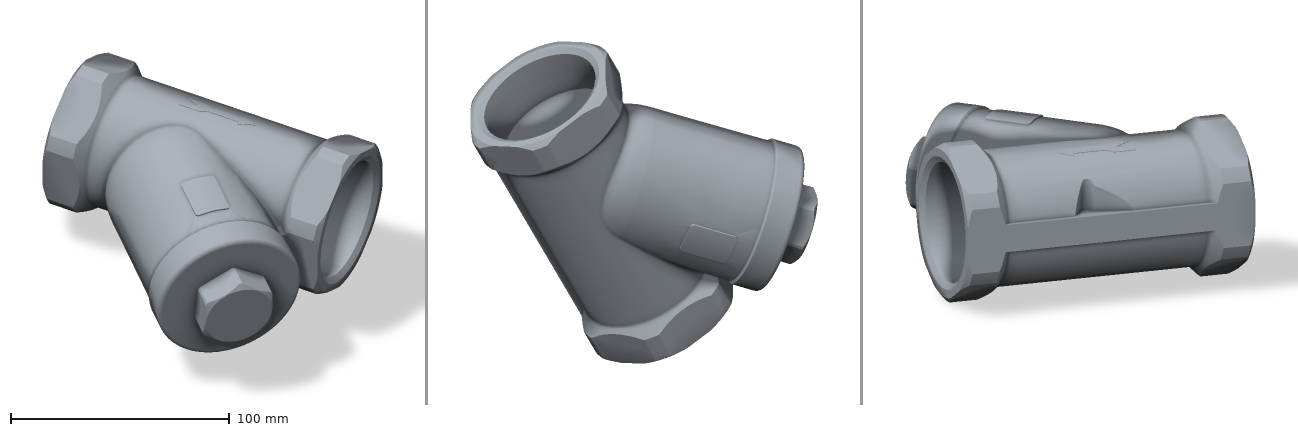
import cadquery as cq
import math

run_length = 140.0
tube_radius = 31.6
socket_flats = 67.9
socket_corner_radius = 37.2
socket_face_radius = 34.6
socket_face_chamfer = 2.1
socket_length = 15.5
bore_radius = 28.0
bore_mouth_radius = 30.8
bore_chamfer = 2.0
bore_depth = 24.4

branch_angle = -45.0
branch_start_x = -26.9
barrel_radius = 33.3
dome_radius = 33.0
dome_centre = 24.8
collar_radius = 34.6
collar_length = 13.6
collar_step = 1.0
branch_end = 98.5
cap_edge_fillet = 2.1
joint_fillet = 1.3

plug_flats = 32.5
plug_corner_radius = 18.3
plug_length = 12.7
plug_face_radius = 15.8
plug_chamfer = 1.8
plug_turn = 25.0

label_start = 52.6
label_length = 22.7
label_width = 16.2
label_corner = 1.7
label_height = 0.7
arrow_height = 0.3
arrow_y = 8.7
arrow_tail_x = -19.5
arrow_notch_x = -11.9
arrow_feather_x = -9.0
arrow_shaft_x = -6.2
arrow_head_x = 10.2
arrow_tip_x = 17.4
arrow_half_width = 3.8
shaft_half_width = 1.8

web_half_height = 6.5
recess_left_x = -12.5
recess_right_x = 16.7
recess_arc_start = (5.5, 25.8)
recess_arc_middle = (8.3, 23.4)
recess_arc_end = (10.9, 24.4)

half_run = run_length / 2
half_flats = socket_flats / 2


def hexagon(workplane, flats, length):
    """Hexagonal prism with its first corner on the local X axis."""
    return workplane.polygon(6, flats / math.cos(math.pi / 6)).extrude(length)


def turned(profile):
    """Revolve a closed (axial, radial) profile about the X axis."""
    return cq.Workplane("XY").polyline(profile).close().revolve(axisEnd=(1, 0, 0))


def left_socket():
    """Hexagonal socket at -X, bevelled at its face and tapered at 45 degrees onto the tube."""
    face = -half_run
    taper_start = face + socket_length
    taper_end = taper_start + socket_corner_radius - tube_radius
    envelope = turned([
        (face, 0),
        (face, socket_face_radius),
        (face + socket_face_chamfer, socket_corner_radius),
        (taper_start, socket_corner_radius),
        (taper_end, tube_radius),
        (taper_end, 0),
    ])
    corner_up = cq.Plane(origin=(face, 0, 0), xDir=(0, 0, 1), normal=(1, 0, 0))
    prism = hexagon(cq.Workplane(corner_up), socket_flats, taper_end - face)
    return prism.intersect(envelope)


def left_bore():
    """Blind bore with a tapered mouth, opening at -X."""
    face = -half_run
    return turned([
        (face, 0),
        (face, bore_mouth_radius),
        (face + bore_chamfer, bore_radius),
        (face + bore_depth, bore_radius),
        (face + bore_depth, 0),
    ])


def both_ends(shape):
    return shape.union(shape.mirror("YZ"))


def back_web():
    inner_length = run_length - 2 * socket_length
    return cq.Workplane("XY").box(
        inner_length, half_flats, 2 * web_half_height, centered=(True, False, True)
    )


def web_recess():
    """Upright pocket in the back of the tube, with the web's top as its floor."""
    edge_y = math.sqrt(tube_radius**2 - web_half_height**2)
    return (
        cq.Workplane("XY", origin=(0, 0, web_half_height))
        .moveTo(recess_left_x, edge_y)
        .lineTo(*recess_arc_start)
        .threePointArc(recess_arc_middle, recess_arc_end)
        .lineTo(recess_right_x, edge_y)
        .lineTo(recess_right_x, half_flats)
        .lineTo(recess_left_x, half_flats)
        .close()
        .extrude(tube_radius)
    )


def barrel():
    """Slightly tapered, domed barrel with its axis on X, before it is turned onto the branch direction."""
    collar_start = branch_end - collar_length
    return (
        cq.Workplane("XY")
        .moveTo(dome_centre - dome_radius, 0)
        .radiusArc((dome_centre, dome_radius), dome_radius)
        .lineTo(collar_start - collar_step, barrel_radius)
        .lineTo(collar_start, collar_radius)
        .lineTo(branch_end, collar_radius)
        .lineTo(branch_end, 0)
        .close()
        .revolve(axisEnd=(1, 0, 0))
        .faces(">X").edges().fillet(cap_edge_fillet)
    )


def plug():
    """Hexagonal plug with blunted corners and a bevelled outer end."""
    plug_end = branch_end + plug_length
    envelope = turned([
        (branch_end, 0),
        (branch_end, plug_corner_radius),
        (plug_end - plug_chamfer, plug_corner_radius),
        (plug_end, plug_face_radius),
        (plug_end, 0),
    ])
    base = cq.Workplane("YZ", origin=(branch_end, 0, 0)).transformed(rotate=(0, 0, plug_turn))
    return hexagon(base, plug_flats, plug_length).intersect(envelope)


def labels():
    """Rounded plates that follow the barrel, one above and one below."""
    outline = (
        cq.Workplane("XY")
        .center(label_start + label_length / 2, 0)
        .rect(label_length, label_width)
        .extrude(2 * barrel_radius, both=True)
        .edges("|Z").fillet(label_corner)
    )
    skin = cq.Workplane("YZ").circle(barrel_radius + label_height).extrude(branch_end)
    return outline.intersect(skin)


def swing(shape):
    """Turn a shape built along X onto the branch axis."""
    return shape.rotate((0, 0, 0), (0, 0, 1), branch_angle).translate((branch_start_x, 0, 0))


def flow_arrow():
    """Arrow pointing to +X that follows the top of the tube."""
    upper_half = [
        (arrow_notch_x, 0),
        (arrow_tail_x, arrow_half_width),
        (arrow_feather_x, arrow_half_width),
        (arrow_shaft_x, shaft_half_width),
        (arrow_head_x, shaft_half_width),
        (arrow_head_x, arrow_half_width),
        (arrow_tip_x, 0),
    ]
    lower_half = [(x, -y) for x, y in reversed(upper_half[1:-1])]
    outline = (
        cq.Workplane("XY", origin=(0, arrow_y, 0))
        .polyline(upper_half + lower_half)
        .close()
        .extrude(socket_corner_radius)
    )
    skin = cq.Workplane("YZ").circle(tube_radius + arrow_height).extrude(half_run, both=True)
    return outline.intersect(skin)


def soften_tube_joints(body):
    """Fillet where the tube and sockets meet the branch (spline edges) and each other (circles)."""
    branch_seam = body.edges("%BSPLINE").vals()
    circles = body.edges("%CIRCLE").vals()
    socket_feet = [edge for edge in circles if math.isclose(edge.radius(), tube_radius)]
    return body.newObject(branch_seam + socket_feet).fillet(joint_fillet)


tube = cq.Workplane("YZ").circle(tube_radius).extrude(half_run - socket_length, both=True)
run = tube.union(both_ends(left_socket()))
body = soften_tube_joints(run.union(swing(barrel())))
body = body.union(back_web()).cut(web_recess())
body = body.union(swing(plug())).union(swing(labels())).union(flow_arrow())
result = body.cut(both_ends(left_bore()))